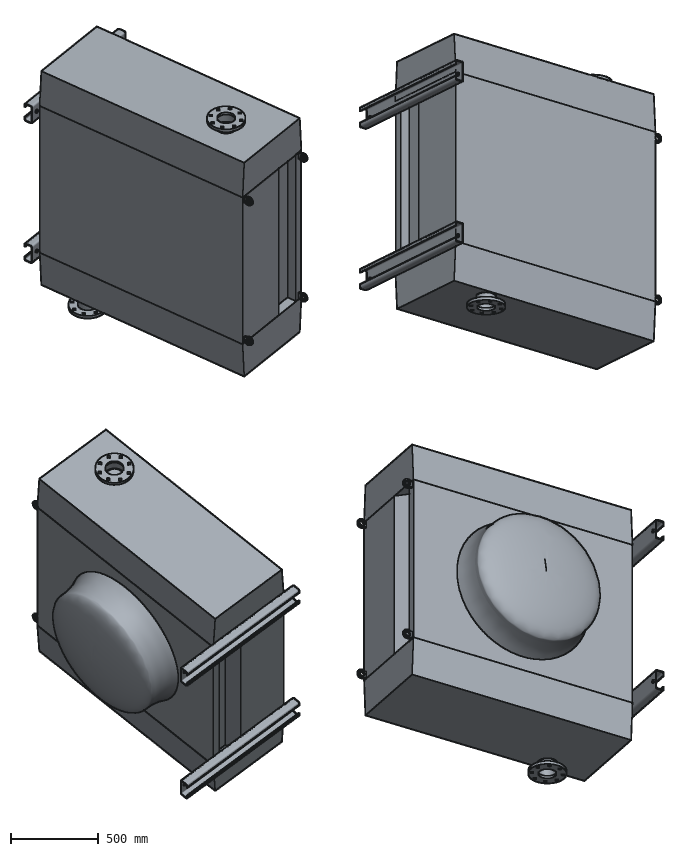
import cadquery as cq

housing_width = 1450.0
housing_height = 1530.0
core_height = 1050.0
core_depth = 560.0
tank_taper = 15.0
side_x = housing_width / 2
rear_y = core_depth
core_top = core_height / 2
tank_top = housing_height / 2

recess_depth = 62.0
flange_thickness = 50.0
flange_inset = 2.0
recess_rear_y = rear_y - flange_thickness
recess_front_y = 344.0

cowl_base_radius = 437.0
cowl_neck_radius = 405.0
cowl_skirt_length = 150.0
cowl_band_length = 25.0
cowl_length = 265.0

pipe_diameter = 114.3
bore_diameter = 104.0
flange_diameter = 220.0
pipe_flange_thickness = 20.0
bolt_circle = 180.0
bolt_hole = 18.0
bolt_count = 8
connection_length = 70.0
connection_offset = 442.0
upper_connection_y = 220.0
lower_connection_y = 80.0

mount_height = 500.0
rail_length = 890.0
rail_height = 126.0
rail_width = 56.0
rail_lip = 27.0
rail_thickness = 6.0
rail_bend_radius = 12.0
rail_front_y = -70.0
rail_hole = 20.0
rail_hole_front_gap = 46.0
rail_hole_rear_gap = 30.0

lug_diameter = 54.0
lug_hole = 32.0
lug_root_height = 40.0
lug_reach = 55.0
lug_thickness = 12.0
lug_edge_gap = 15.0


def make_core():
    """Core block with a recess along both sides, shaped in plan."""
    slant_y = recess_front_y + recess_depth
    half_plan = [
        (side_x, 0),
        (side_x, recess_front_y),
        (side_x - recess_depth, slant_y),
        (side_x - recess_depth, recess_rear_y),
        (side_x - flange_inset, recess_rear_y),
        (side_x - flange_inset, rear_y),
    ]
    other_half = [(-x, y) for x, y in reversed(half_plan)]
    plan = cq.Workplane("XY").workplane(offset=-core_top).polyline(half_plan + other_half).close()
    return plan.extrude(core_height)


def make_tank(side):
    """Header tank on the upper (+1) or lower (-1) end, narrowing away from the core."""
    profile = [
        (0, side * core_top),
        (tank_taper, side * tank_top),
        (rear_y - tank_taper, side * tank_top),
        (rear_y, side * core_top),
    ]
    tank = cq.Workplane("YZ").workplane(offset=-side_x).polyline(profile).close()
    return tank.extrude(housing_width)


def make_cowl():
    """Flared skirt, short straight band and elliptical crown, turned about the Y axis."""
    skirt_y = rear_y + cowl_skirt_length
    band_y = skirt_y + cowl_band_length
    crown_y = rear_y + cowl_length
    profile = (
        cq.Workplane("YZ")
        .moveTo(crown_y, 0)
        .ellipseArc(crown_y - band_y, cowl_neck_radius, 0, 90, startAtCurrent=True)
        .lineTo(skirt_y, cowl_neck_radius)
        .tangentArcPoint((rear_y, cowl_base_radius), relative=False)
        .lineTo(rear_y, 0)
        .close()
    )
    return profile.revolve(360, (0, 0, 0), (1, 0, 0))


def make_connection():
    """Pipe stub standing on Z = 0 with a bolted flange at its upper end."""
    bolt_angle = 360 / bolt_count / 2
    pipe = cq.Workplane("XY").circle(pipe_diameter / 2).extrude(connection_length)
    flange = (
        cq.Workplane("XY")
        .workplane(offset=connection_length - pipe_flange_thickness)
        .circle(flange_diameter / 2)
        .extrude(pipe_flange_thickness)
    )
    bolt_holes = (
        cq.Workplane("XY")
        .polarArray(bolt_circle / 2, bolt_angle, 360, bolt_count)
        .circle(bolt_hole / 2)
        .extrude(connection_length)
    )
    bore = cq.Workplane("XY").circle(bore_diameter / 2).extrude(connection_length)
    return pipe.union(flange).cut(bolt_holes).cut(bore)


def make_rail(height):
    """Lipped channel along Y, its web against the -X side and its mouth facing -X."""
    half = rail_height / 2
    outer = cq.Workplane("XZ").rect(rail_width, rail_height).extrude(-rail_length)
    outer = outer.edges("|Y").fillet(rail_bend_radius)
    inner = (
        cq.Workplane("XZ")
        .rect(rail_width - 2 * rail_thickness, rail_height - 2 * rail_thickness)
        .extrude(-rail_length)
        .edges("|Y")
        .fillet(rail_bend_radius - rail_thickness)
    )
    mouth = (
        cq.Workplane("XZ")
        .center(-rail_width / 2, 0)
        .rect(rail_width, 2 * (half - rail_lip))
        .extrude(-rail_length)
    )
    holes = (
        cq.Workplane("YZ")
        .pushPoints([(rail_hole_front_gap, 0), (rail_length - rail_hole_rear_gap, 0)])
        .circle(rail_hole / 2)
        .extrude(rail_width)
    )
    rail = outer.cut(inner).cut(mouth).cut(holes)
    return rail.translate((-side_x - rail_width / 2, rail_front_y, height))


def make_lug(y, height):
    """Flat eye plate standing on the +X side of the core."""
    start_x = side_x - flange_inset if y > core_depth / 2 else side_x
    eye_x = side_x + lug_reach - lug_diameter / 2
    eye = cq.Workplane("XZ").center(eye_x, 0).circle(lug_diameter / 2).extrude(-lug_thickness)
    root = (
        cq.Workplane("XZ")
        .center((start_x + eye_x) / 2, 0)
        .rect(eye_x - start_x, lug_root_height)
        .extrude(-lug_thickness)
    )
    hole = cq.Workplane("XZ").center(eye_x, 0).circle(lug_hole / 2).extrude(-lug_thickness)
    return eye.union(root).cut(hole).translate((0, y, height))


core = make_core().union(make_cowl())
upper_tank = make_tank(1).union(
    make_connection().translate((connection_offset, upper_connection_y, tank_top))
)
lower_tank = make_tank(-1).union(
    make_connection()
    .rotate((0, 0, 0), (1, 0, 0), 180)
    .translate((-connection_offset, lower_connection_y, -tank_top))
)
rails = [make_rail(height) for height in (-mount_height, mount_height)]
lugs = [
    make_lug(y, height)
    for y in (lug_edge_gap, rear_y - lug_edge_gap - lug_thickness)
    for height in (-mount_height, mount_height)
]

bodies = [core, upper_tank, lower_tank, *rails, *lugs]
result = cq.Compound.makeCompound([body.val() for body in bodies])